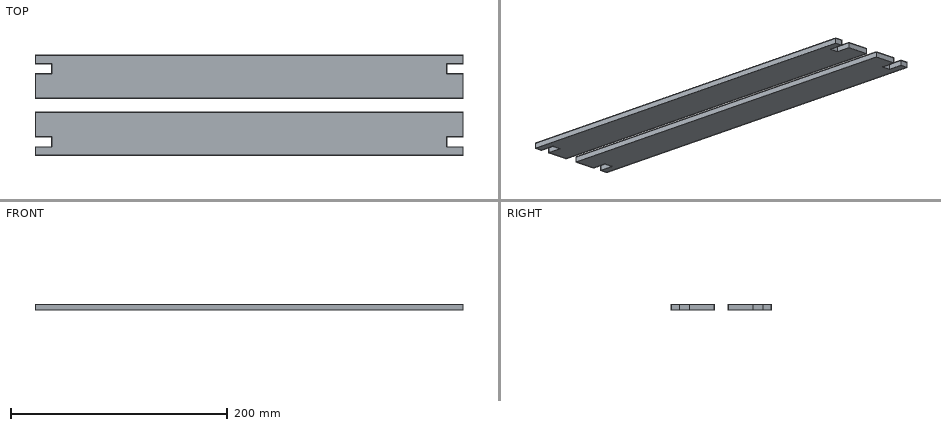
import cadquery as cq

length = 396.0
width = 40.0
thickness = 5.0

overall_width = 92.5
gap = overall_width - 2 * width

notch_depth = 15.0
notch_width = 9.0
outer_tab_width = 8.0


def make_slat(side):
    """Build the slat on the +Y (side = 1) or -Y (side = -1) half."""
    center_y = side * (gap + width) / 2
    notch_y = side * (overall_width / 2 - outer_tab_width - notch_width / 2)
    notch_x = (length - notch_depth) / 2

    slat = cq.Workplane("XY").center(0, center_y).rect(length, width).extrude(thickness)
    notches = (
        cq.Workplane("XY")
        .pushPoints([(-notch_x, notch_y), (notch_x, notch_y)])
        .rect(notch_depth, notch_width)
        .extrude(thickness)
    )
    return slat.cut(notches)


slats = [make_slat(side) for side in (-1, 1)]

result = cq.Compound.makeCompound([slat.val() for slat in slats])